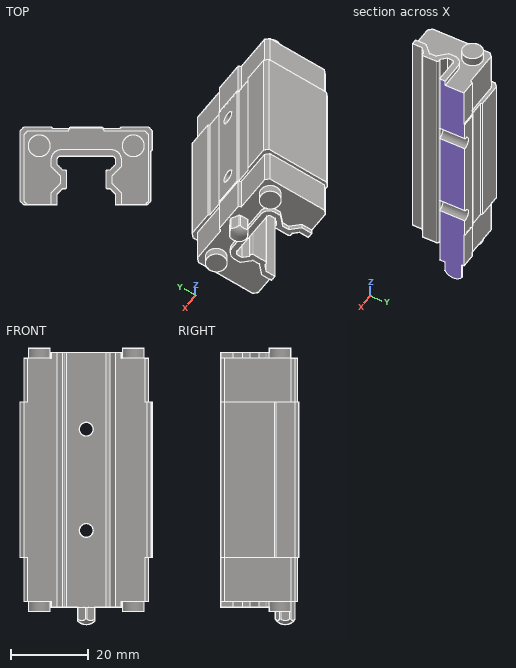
import cadquery as cq
import math


BLOCK_LENGTH = 40.0
CAP_TO_CAP = 62.5
SEAL_TO_SEAL = 65.45
SCREW_TO_SCREW = 67.6
OVERALL_LENGTH = 71.0

BLOCK_WIDTH = 34.0
BLOCK_HEIGHT = 20.0
CORNER_CHAMFER = 1.0
RELIEF_DEPTH = 0.39
REFERENCE_EDGE_Y = 14.1
PAD_HALF_WIDTH = 4.05
GROOVE_OUTER_X = 8.95

CAP_INSET = 1.0
RIDGE_DROP = 0.3
RIDGE_BASE_HALF_WIDTH = 4.6

CHANNEL_HALF_WIDTH = 7.45
CHANNEL_TOP = 12.5
CHANNEL_TOP_RADIUS = 0.8
LIP_HALF_WIDTH = 5.05
LIP_BOTTOM = 4.1
LIP_TOP = 9.0
LIP_RADIUS = 0.5
LIP_ROOT_HALF_WIDTH = 6.1

SEAL_HALF_WIDTH = 9.0
SEAL_TOP = 14.2
SEAL_CORNER_RADIUS = 2.6
SEAL_WAIST_HALF_WIDTH = 6.6
SEAL_WAIST_BOTTOM = 5.55
SEAL_WAIST_TOP = 7.45

SCREW_DIAMETER = 5.6
SCREW_X = 12.1
SCREW_Y = 15.2

NIPPLE_Y = 16.55
NIPPLE_ACROSS_FLATS = 4.6
NIPPLE_DIAMETER = 5.1
NIPPLE_DOME_RADIUS = 3.0

HOLE_DIAMETER = 3.5
HOLE_SPACING = 26.0


def centred_prism(points, length):
    """Closed XY outline extruded along Z, centred on the origin."""
    return cq.Workplane("XY").polyline(points).close().extrude(length / 2, both=True)


def mirrored(right_side):
    """Outline from its +X half, listed counterclockwise, plus the same points mirrored to -X."""
    return right_side + [(-x, y) for x, y in reversed(right_side)]


def block():
    half = BLOCK_WIDTH / 2
    side = half - RELIEF_DEPTH
    groove_floor = BLOCK_HEIGHT - RELIEF_DEPTH
    top_right = [
        (half - CORNER_CHAMFER, BLOCK_HEIGHT),
        (GROOVE_OUTER_X, BLOCK_HEIGHT),
        (GROOVE_OUTER_X - RELIEF_DEPTH, groove_floor),
        (PAD_HALF_WIDTH + RELIEF_DEPTH, groove_floor),
        (PAD_HALF_WIDTH, BLOCK_HEIGHT),
    ]
    reference_side = [
        (side - CORNER_CHAMFER, 0),
        (side, CORNER_CHAMFER),
        (side, REFERENCE_EDGE_Y - RELIEF_DEPTH),
        (half, REFERENCE_EDGE_Y),
        (half, BLOCK_HEIGHT - CORNER_CHAMFER),
    ]
    plain_side = [
        (-half, BLOCK_HEIGHT - CORNER_CHAMFER),
        (-half, CORNER_CHAMFER),
        (-half + CORNER_CHAMFER, 0),
    ]
    return centred_prism(reference_side + mirrored(top_right) + plain_side, BLOCK_LENGTH)


def end_caps():
    """Both caps as one bar running through the block."""
    half = BLOCK_WIDTH / 2 - CAP_INSET
    shoulder = BLOCK_HEIGHT - CAP_INSET
    ridge_top = BLOCK_HEIGHT - RIDGE_DROP
    ridge_half_width = RIDGE_BASE_HALF_WIDTH - RELIEF_DEPTH
    right_side = [
        (half - CORNER_CHAMFER, 0),
        (half, CORNER_CHAMFER),
        (half, shoulder - CORNER_CHAMFER),
        (half - CORNER_CHAMFER, shoulder),
        (RIDGE_BASE_HALF_WIDTH, shoulder),
        (ridge_half_width, ridge_top),
    ]
    return centred_prism(mirrored(right_side), CAP_TO_CAP)


def end_seals():
    """Both seals as one bar; the channel cut later leaves a thin ring."""
    flare = SEAL_HALF_WIDTH - SEAL_WAIST_HALF_WIDTH
    right_side = [
        (SEAL_HALF_WIDTH, 0),
        (SEAL_HALF_WIDTH, SEAL_WAIST_BOTTOM - flare),
        (SEAL_WAIST_HALF_WIDTH, SEAL_WAIST_BOTTOM),
        (SEAL_WAIST_HALF_WIDTH, SEAL_WAIST_TOP),
        (SEAL_HALF_WIDTH, SEAL_WAIST_TOP + flare),
        (SEAL_HALF_WIDTH, SEAL_TOP),
    ]
    bar = centred_prism(mirrored(right_side), SEAL_TO_SEAL)
    return bar.edges("|Z and >Y").fillet(SEAL_CORNER_RADIUS)


def rail_channel():
    flank = CHANNEL_HALF_WIDTH - LIP_ROOT_HALF_WIDTH
    right_side = [
        (CHANNEL_HALF_WIDTH, 0),
        (CHANNEL_HALF_WIDTH, LIP_BOTTOM - flank),
        (LIP_ROOT_HALF_WIDTH, LIP_BOTTOM),
        (LIP_HALF_WIDTH, LIP_BOTTOM),
        (LIP_HALF_WIDTH, LIP_TOP),
        (LIP_ROOT_HALF_WIDTH, LIP_TOP),
        (CHANNEL_HALF_WIDTH, LIP_TOP + flank),
        (CHANNEL_HALF_WIDTH, CHANNEL_TOP),
    ]
    channel = centred_prism(mirrored(right_side), SEAL_TO_SEAL)
    channel = channel.edges("|Z and >Y").fillet(CHANNEL_TOP_RADIUS)
    lip_zone = cq.selectors.BoxSelector(
        (-LIP_ROOT_HALF_WIDTH + LIP_RADIUS, 0, -SEAL_TO_SEAL),
        (LIP_ROOT_HALF_WIDTH - LIP_RADIUS, CHANNEL_TOP - CHANNEL_TOP_RADIUS, SEAL_TO_SEAL),
    )
    return channel.edges("|Z").edges(lip_zone).fillet(LIP_RADIUS)


def cap_screws():
    """Screw pairs running through the body, so a head stands out at each end."""
    positions = [(-SCREW_X, SCREW_Y), (SCREW_X, SCREW_Y)]
    screws = cq.Workplane("XY").pushPoints(positions)
    return screws.circle(SCREW_DIAMETER / 2).extrude(SCREW_TO_SCREW / 2, both=True)


def grease_nipple():
    tip_z = SCREW_TO_SCREW / 2 - OVERALL_LENGTH
    root_z = -BLOCK_LENGTH / 2
    length = root_z - tip_z
    base = cq.Workplane("XY", origin=(0, NIPPLE_Y, tip_z))
    across_corners = NIPPLE_ACROSS_FLATS / math.cos(math.pi / 6)
    hexagon = base.transformed(rotate=(0, 0, 90)).polygon(6, across_corners).extrude(length)
    radius = NIPPLE_DIAMETER / 2
    dome_height = NIPPLE_DOME_RADIUS - math.sqrt(NIPPLE_DOME_RADIUS**2 - radius**2)
    half_angle = math.asin(radius / NIPPLE_DOME_RADIUS) / 2
    arc_middle = (
        NIPPLE_DOME_RADIUS * math.sin(half_angle),
        NIPPLE_DOME_RADIUS * (1 - math.cos(half_angle)),
    )
    turned = (
        cq.Workplane("XZ", origin=(0, NIPPLE_Y, tip_z))
        .threePointArc(arc_middle, (radius, dome_height))
        .lineTo(radius, length)
        .lineTo(0, length)
        .close()
        .revolve(360, (0, 0, 0), (0, 1, 0))
    )
    return hexagon.intersect(turned)


def lubrication_holes():
    positions = [(0, -HOLE_SPACING / 2), (0, HOLE_SPACING / 2)]
    holes = cq.Workplane("XZ").pushPoints(positions)
    return holes.circle(HOLE_DIAMETER / 2).extrude(-BLOCK_HEIGHT)


result = (
    block()
    .union(end_caps())
    .union(end_seals())
    .union(cap_screws())
    .union(grease_nipple())
    .cut(rail_channel())
    .cut(lubrication_holes())
)